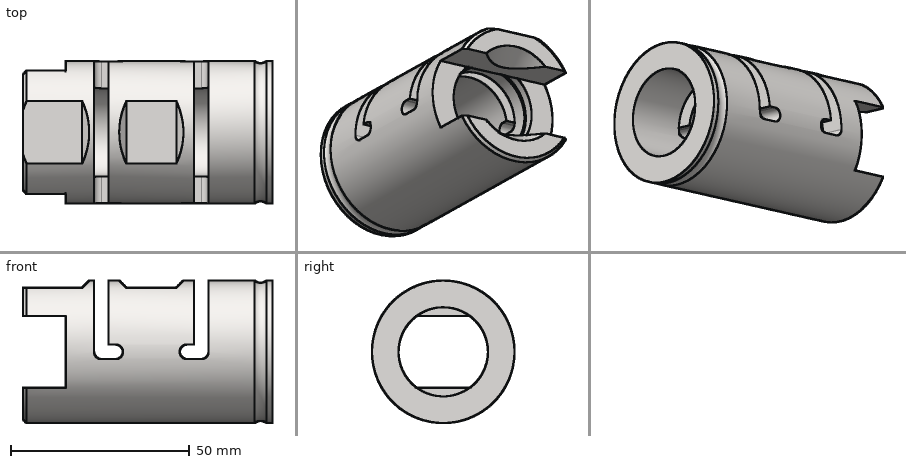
import cadquery as cq
import math

length = 70.0
outer_diameter = 40.0
outer_radius = outer_diameter / 2
left_end = -length / 2
right_end = length / 2
end_chamfer = 1.0

bore_diameter = 25.0
relief_diameter = 26.0
relief_length = 3.0

jaw_gap = 20.0
jaw_length = 12.0
jaw_root = left_end + jaw_length

centre_diameter = 28.0
centre_half_angle = 30.0

hook_mid_plane = 1.0
hook_outer_offset = 16.0
hook_slot_width = 4.0
hook_foot_length = 8.0
hook_corner_radius = hook_slot_width / 2

flat_height = 18.0
flat_runout = outer_radius - flat_height
end_flat_stop = -18.4
middle_flat_length = 14.0

groove_width = 3.4
groove_depth = 0.6
groove_collar = 1.7


def make_body():
    """Round bar with a chamfered left end."""
    bar = cq.Workplane("YZ").workplane(offset=left_end).circle(outer_radius).extrude(length)
    return bar.faces("<X").chamfer(end_chamfer)


def x_cylinder(diameter, start, stop):
    """Cylinder on the part axis between two X positions."""
    return cq.Workplane("YZ").workplane(offset=start).circle(diameter / 2).extrude(stop - start)


def make_bore():
    """Bore from the jaw root to the right end, with a wider relief at the root."""
    bore = x_cylinder(bore_diameter, jaw_root, right_end)
    relief = x_cylinder(relief_diameter, jaw_root, jaw_root + relief_length)
    return bore.union(relief)


def make_jaw_gap():
    """Cross slot through the left end, along Y."""
    gap = cq.Workplane("XY").box(jaw_length, outer_diameter, jaw_gap)
    return gap.translate((left_end + jaw_length / 2, 0, 0))


def make_centre_cone():
    """Conical centre, widest at the left face, that fades out inside the jaw gap."""
    base_radius = centre_diameter / 2
    tip_radius = base_radius - jaw_length * math.tan(math.radians(centre_half_angle))
    profile = cq.Workplane("XY").polyline([
        (left_end, 0),
        (left_end, base_radius),
        (jaw_root, tip_radius),
        (jaw_root, 0),
    ]).close()
    return profile.revolve(360, (0, 0, 0), (1, 0, 0))


def make_hook_slot(side):
    """J-shaped slot through Y: side -1 is left of the mid plane, +1 is right of it."""
    radius = hook_corner_radius

    def x_at(inset):
        return hook_mid_plane + side * (hook_outer_offset - inset)

    bulge = radius * math.sqrt(0.5)
    foot_centre = hook_foot_length - radius
    outline = (
        cq.Workplane("XZ")
        .moveTo(x_at(0), outer_radius)
        .lineTo(x_at(0), 0)
        .threePointArc((x_at(radius - bulge), -bulge), (x_at(radius), -radius))
        .lineTo(x_at(foot_centre), -radius)
        .threePointArc((x_at(hook_foot_length), 0), (x_at(foot_centre), radius))
        .lineTo(x_at(hook_slot_width), radius)
        .lineTo(x_at(hook_slot_width), outer_radius)
        .close()
    )
    return outline.extrude(outer_radius, both=True)


def make_flat(start, stop, start_runout, stop_runout):
    """Cutter for a flat on top, with a sloping run-out at either end."""
    outline = cq.Workplane("XZ").polyline([
        (start, flat_height),
        (stop, flat_height),
        (stop + stop_runout, outer_radius),
        (start - start_runout, outer_radius),
    ]).close()
    return outline.extrude(outer_radius, both=True)


def make_ring_groove():
    """Shallow groove of circular-arc section around the outside."""
    groove_right = right_end - groove_collar
    groove_left = groove_right - groove_width
    groove_middle = (groove_left + groove_right) / 2
    section = (
        cq.Workplane("XY")
        .moveTo(groove_left, outer_radius)
        .threePointArc((groove_middle, outer_radius - groove_depth), (groove_right, outer_radius))
        .close()
    )
    return section.revolve(360, (0, 0, 0), (1, 0, 0))


middle_flat_start = hook_mid_plane - middle_flat_length / 2
middle_flat_stop = hook_mid_plane + middle_flat_length / 2

result = make_body()
result = result.cut(make_bore())
result = result.cut(make_centre_cone())
result = result.cut(make_jaw_gap())
for side in (-1, 1):
    result = result.cut(make_hook_slot(side))
result = result.cut(make_flat(left_end, end_flat_stop, 0, flat_runout))
result = result.cut(make_flat(middle_flat_start, middle_flat_stop, flat_runout, flat_runout))
result = result.cut(make_ring_groove())